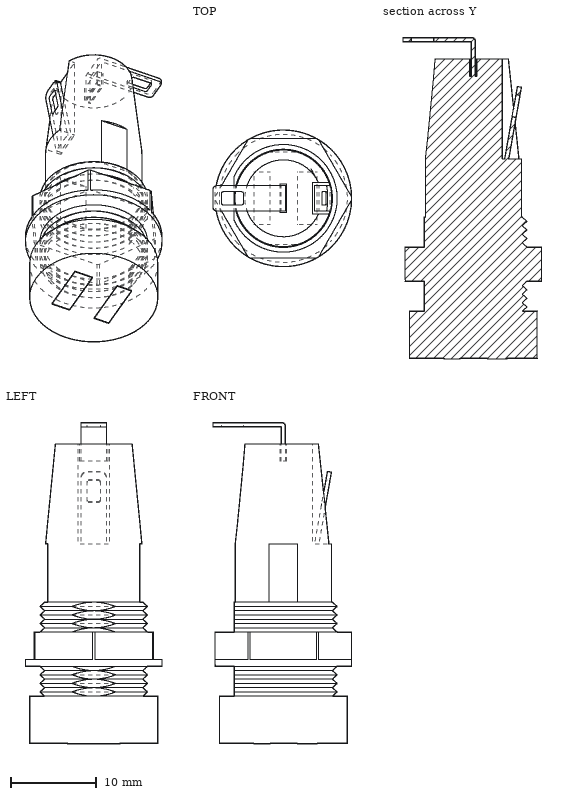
import cadquery as cq
import math

MARK_HEIGHT = 0.1
CAP_BOTTOM = MARK_HEIGHT
CAP_TOP = 5.6
THREAD_TOP = 16.6
WASHER_BOTTOM = 9.1
NUT_BOTTOM = 9.9
NUT_TOP = 13.1
BODY_TOP = 23.4
CONE_TOP = 35.1
TERMINAL_TOP = 37.6

CAP_DIAMETER = 15.0
WASHER_DIAMETER = 16.0
NUT_ACROSS_FLATS = 14.0

MARKS = ((-2.5, 1.9), (2.8, 2.3))
MARK_LENGTH = 6.1

THREAD_PITCH = 1.0
THREAD_CREST_RADIUS = 6.3
THREAD_ROOT_RADIUS = 5.75
THREAD_FLAT_X = -5.75

BODY_DIAMETER = 11.3
BODY_ACROSS_FLATS = 10.8
CONE_TOP_DIAMETER = 9.0

SHEET = 0.5
TERMINAL_WIDTH = 3.0
ARM_CORNER_RADIUS = 0.5
BEND_RADIUS = 0.45
EYE_LENGTH = 2.6
EYE_WIDTH = 1.55
EYE_CORNER_RADIUS = 0.25
EYE_END_MARGIN = 1.0

BENT_TERMINAL_TIP_X = -8.25
CENTRE_SLOT_CLEARANCE = 0.15
CENTRE_SLOT_DEPTH = 2.0

SIDE_SLOT_X = 3.4
SIDE_SLOT_WIDTH = 3.65
LEAF_FOOT_X = 3.65
LEAF_TILT = 10.0
LEAF_CORNER_RADIUS = 0.8
LEAF_TOP = 31.9
LEAF_EMBED = 0.5


def cylinder(diameter, bottom, top):
    return cq.Workplane("XY").workplane(offset=bottom).circle(diameter / 2).extrude(top - bottom)


def box(x_min, x_max, width, bottom, top):
    """Box centred on Y."""
    size_x = x_max - x_min
    return (
        cq.Workplane("XY")
        .box(size_x, width, top - bottom, centered=(False, True, False))
        .translate((x_min, 0, bottom))
    )


def make_marks():
    marks = cq.Workplane("XY")
    for centre_x, width in MARKS:
        bar = box(centre_x - width / 2, centre_x + width / 2, MARK_LENGTH, 0, CAP_BOTTOM)
        marks = marks.add(bar)
    return marks.combine()


def make_thread():
    """Revolved V rings between the cap and the body."""
    ring_count = round((THREAD_TOP - CAP_TOP) / THREAD_PITCH)
    profile = cq.Workplane("XZ").moveTo(0, CAP_TOP).lineTo(THREAD_ROOT_RADIUS, CAP_TOP)
    for ring in range(ring_count):
        root_z = CAP_TOP + ring * THREAD_PITCH
        profile = profile.lineTo(THREAD_CREST_RADIUS, root_z + THREAD_PITCH / 2)
        profile = profile.lineTo(THREAD_ROOT_RADIUS, root_z + THREAD_PITCH)
    thread = profile.lineTo(0, THREAD_TOP).close().revolve(360, (0, 0, 0), (0, 1, 0))
    keep = box(THREAD_FLAT_X, THREAD_CREST_RADIUS, 2 * THREAD_CREST_RADIUS, CAP_TOP, THREAD_TOP)
    return thread.intersect(keep)


def make_nut():
    """Hexagon with corners on the X axis, trimmed to the washer diameter."""
    across_corners = NUT_ACROSS_FLATS / math.cos(math.radians(30))
    hexagon = (
        cq.Workplane("XY")
        .workplane(offset=NUT_BOTTOM)
        .polygon(6, across_corners)
        .extrude(NUT_TOP - NUT_BOTTOM)
    )
    return hexagon.intersect(cylinder(WASHER_DIAMETER, NUT_BOTTOM, NUT_TOP))


def make_body():
    """Cylinder with flats on its -Y and +Y sides."""
    body_radius = BODY_DIAMETER / 2
    flats = box(-body_radius, body_radius, BODY_ACROSS_FLATS, THREAD_TOP, BODY_TOP)
    return cylinder(BODY_DIAMETER, THREAD_TOP, BODY_TOP).intersect(flats)


def make_cone():
    """Tapered top with the two terminal slots."""
    cone = cq.Workplane(
        cq.Solid.makeCone(
            BODY_DIAMETER / 2, CONE_TOP_DIAMETER / 2, CONE_TOP - BODY_TOP, pnt=cq.Vector(0, 0, BODY_TOP)
        )
    )
    side_slot = box(SIDE_SLOT_X, BODY_DIAMETER, SIDE_SLOT_WIDTH, BODY_TOP, CONE_TOP)
    slot_half_x = SHEET / 2 + CENTRE_SLOT_CLEARANCE
    slot_width = TERMINAL_WIDTH + 2 * CENTRE_SLOT_CLEARANCE
    centre_slot = box(-slot_half_x, slot_half_x, slot_width, CONE_TOP - CENTRE_SLOT_DEPTH, CONE_TOP)
    return cone.cut(side_slot).cut(centre_slot)


def make_strip(length, corner_radius):
    """Flat strip from the origin to a rounded tip at -X, with an eye near the tip."""
    strip = box(-length, 0, TERMINAL_WIDTH, 0, SHEET).edges("|Z and <X").fillet(corner_radius)
    eye_start = EYE_END_MARGIN - length
    eye = box(eye_start, eye_start + EYE_LENGTH, EYE_WIDTH, 0, SHEET)
    return strip.cut(eye.edges("|Z").fillet(EYE_CORNER_RADIUS))


def make_bent_terminal():
    """Upright strip in the centre slot, folded over to -X with a rounded outer bend."""
    upright_x = SHEET / 2
    foot = CONE_TOP - CENTRE_SLOT_DEPTH
    upright = box(-upright_x, upright_x, TERMINAL_WIDTH, foot, TERMINAL_TOP)
    arm = make_strip(upright_x - BENT_TERMINAL_TIP_X, ARM_CORNER_RADIUS)
    arm = arm.translate((upright_x, 0, TERMINAL_TOP - SHEET))
    bend_edge = cq.selectors.NearestToPointSelector((upright_x, 0, TERMINAL_TOP))
    return upright.union(arm).edges(bend_edge).fillet(BEND_RADIUS)


def make_leaf_terminal():
    """Straight strip standing in the side slot and leaning outward."""
    tilt = math.radians(LEAF_TILT)
    inner_length = (LEAF_TOP - BODY_TOP) / math.cos(tilt)
    strip = make_strip(inner_length + LEAF_EMBED, LEAF_CORNER_RADIUS).translate((LEAF_EMBED, 0, 0))
    return strip.rotate((0, 0, 0), (0, 1, 0), 90 + LEAF_TILT).translate((LEAF_FOOT_X, 0, BODY_TOP))


result = (
    cylinder(CAP_DIAMETER, CAP_BOTTOM, CAP_TOP)
    .union(make_marks())
    .union(make_thread())
    .union(cylinder(WASHER_DIAMETER, WASHER_BOTTOM, NUT_BOTTOM))
    .union(make_nut())
    .union(make_body())
    .union(make_cone())
    .union(make_bent_terminal())
    .union(make_leaf_terminal())
)